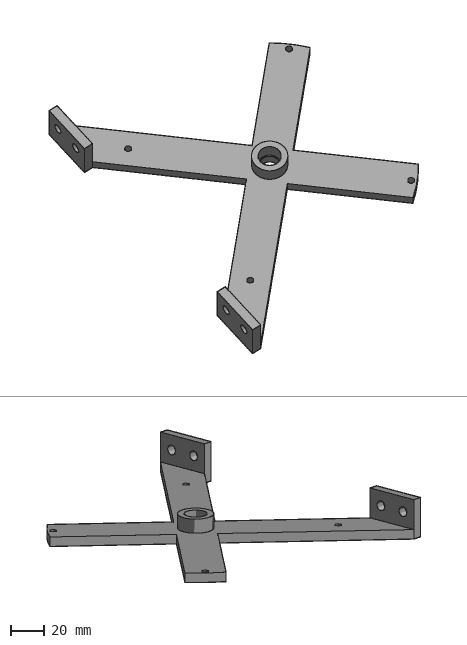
import cadquery as cq
import math

foot_span = 203.4
bar_width = 25.0
plate_thickness = 6.0
cut_width = bar_width * math.sqrt(2)

bar_end_radius = 89.9
bar_hole_offset = 61.0
bar_hole_diameter = 4.0

foot_height = 25.0
foot_hole_height = (plate_thickness + foot_height) / 2
foot_hole_diameter = 6.0
foot_back_y = -(foot_span - cut_width) / 2
foot_front_y = foot_back_y - plate_thickness

hub_diameter = 22.0
hub_top = 15.0
hub_bore_diameter = 13.8
plate_bore_diameter = 12.2


def make_bar():
    """Bar rising from the negative X foot to the positive X rounded end."""
    end_chord = math.sqrt(bar_end_radius**2 - (bar_width / 2) ** 2)
    along = end_chord / math.sqrt(2)
    across = bar_width / 2 / math.sqrt(2)
    end_middle = bar_end_radius / math.sqrt(2)
    foot_outer_x = -foot_span / 2
    return (
        cq.Workplane("XY")
        .moveTo(foot_outer_x, foot_back_y)
        .lineTo(foot_outer_x + cut_width, foot_back_y)
        .lineTo(along + across, along - across)
        .threePointArc((end_middle, end_middle), (along - across, along + across))
        .close()
        .extrude(plate_thickness)
    )


def make_foot():
    """Upright plate on the negative X side with two bolt holes."""
    foot_center_x = -(foot_span - cut_width) / 2
    plate = (
        cq.Workplane("XY")
        .box(cut_width, plate_thickness, foot_height, centered=(True, False, False))
        .translate((foot_center_x, foot_front_y, 0))
    )
    holes = (
        cq.Workplane("XZ", origin=(foot_center_x, foot_back_y, foot_hole_height))
        .pushPoints([(-cut_width / 4, 0), (cut_width / 4, 0)])
        .circle(foot_hole_diameter / 2)
        .extrude(plate_thickness)
    )
    return plate.cut(holes)


arm = make_bar().union(make_foot())
body = arm.union(arm.mirror("YZ"))

hub = cq.Workplane("XY").circle(hub_diameter / 2).extrude(hub_top)
hub_bore = (
    cq.Workplane("XY", origin=(0, 0, plate_thickness))
    .circle(hub_bore_diameter / 2)
    .extrude(hub_top - plate_thickness)
)
plate_bore = cq.Workplane("XY").circle(plate_bore_diameter / 2).extrude(plate_thickness)
body = body.union(hub).cut(hub_bore).cut(plate_bore)

bar_holes = (
    cq.Workplane("XY")
    .rect(2 * bar_hole_offset, 2 * bar_hole_offset, forConstruction=True)
    .vertices()
    .circle(bar_hole_diameter / 2)
    .extrude(plate_thickness)
)
result = body.cut(bar_holes)